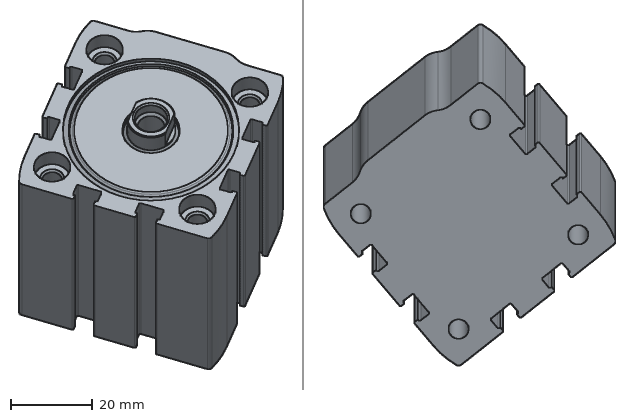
import cadquery as cq
import math

total_height = 59.5
rod_protrusion = 5.0
housing_height = total_height - rod_protrusion
total_width_x = 53.0
half_width = total_width_x / 2
total_length_y = 55.0
pad_face_y = total_length_y - half_width
side_flat_half_length = 18.45
side_arc_radius = 22.0
corner_fillet = 1.1
pad_half_width = 9.05
pad_curve_radius = 6.0

slot_offset = 8.15
slot_depth = 4.5
slot_width = 6.5
slot_lip_thickness = 1.3
slot_mouth_width = 5.25
slot_fillet = 0.35
slot_side_turns = (-90, 0, 90)

mount_pitch = 38.0
mount_half_pitch = mount_pitch / 2
mount_hole_diameter = 4.95
mount_countersink_diameter = 6.0
mount_counterbore_diameter = 9.0
mount_counterbore_depth = 5.0

cap_recess_radius = 43.4 / 2
cap_recess_depth = 1.2
cap_seat_inner_radius = 20.3
cap_seat_depth = 0.35
cap_rim_radius = 40.0 / 2
cap_rim_depth = 0.85
cap_bevel_radius = 19.4
cap_bevel_depth = 0.385
cap_face_radius = 18.9
cap_face_depth = 0.2

wiper_radius = 14.1 / 2
wiper_foot_radius = 6.85
wiper_depth = 1.4
wiper_lip_depth = 0.4

rod_radius = 12.0 / 2
rod_seat_depth = 35.7
rod_chamfer = 0.25
flat_spacing = 10.0
flat_length = 4.75
flat_ramp_drop = 0.6
thread_chamfer_diameter = 9.0
thread_diameter = 8.1
thread_depth = 3.2
drill_diameter = 6.65
drill_depth = 11.9
drill_cone_slope = math.tan(math.radians(30))


def housing_block():
    """Extruded block with bowed side ends and a raised pad on the +Y side."""
    bow_length = half_width - side_flat_half_length
    bow_angle = math.asin(bow_length / side_arc_radius)

    def bowed_x(angle):
        return half_width - side_arc_radius * (1 - math.cos(angle))

    bow_mid_x = bowed_x(bow_angle / 2)
    bow_mid_y = side_flat_half_length + side_arc_radius * math.sin(bow_angle / 2)
    corner_x = bowed_x(bow_angle)

    half_rise = (pad_face_y - half_width) / 2
    arc_run = math.sqrt(2 * pad_curve_radius * half_rise - half_rise**2)
    arc_angle = math.asin(arc_run / pad_curve_radius)
    mid_run = pad_curve_radius * math.sin(arc_angle / 2)
    mid_drop = pad_curve_radius * (1 - math.cos(arc_angle / 2))
    pad_foot_x = pad_half_width + 2 * arc_run
    bend_point = (pad_half_width + arc_run, pad_face_y - half_rise)

    right_half = (
        cq.Workplane("XY")
        .moveTo(0, -half_width)
        .lineTo(corner_x, -half_width)
        .threePointArc((bow_mid_x, -bow_mid_y), (half_width, -side_flat_half_length))
        .lineTo(half_width, side_flat_half_length)
        .threePointArc((bow_mid_x, bow_mid_y), (corner_x, half_width))
        .lineTo(pad_foot_x, half_width)
        .threePointArc((pad_foot_x - mid_run, half_width + mid_drop), bend_point)
        .threePointArc((pad_half_width + mid_run, pad_face_y - mid_drop), (pad_half_width, pad_face_y))
        .lineTo(0, pad_face_y)
        .close()
        .extrude(housing_height)
    )
    for side_y in (-half_width, half_width):
        corner = cq.selectors.NearestToPointSelector((corner_x, side_y, housing_height / 2))
        right_half = right_half.edges(corner).fillet(corner_fillet)
    return right_half.union(right_half.mirror("YZ")).clean()


def revolved(profile):
    """Solid of revolution about the Z axis from (radius, height) points."""
    return cq.Workplane("XZ").polyline(profile).close().revolve(360, (0, 0), (0, 1))


def side_slot():
    """T-slot cutter opening through the -Y face, centred on X = 0."""
    mouth = cq.Workplane("XY").box(
        slot_mouth_width, slot_depth, housing_height, centered=(True, False, False)
    )
    undercut = (
        cq.Workplane("XY")
        .box(slot_width, slot_depth - slot_lip_thickness, housing_height, centered=(True, False, False))
        .edges("|Z")
        .fillet(slot_fillet)
        .translate((0, slot_lip_thickness, 0))
    )
    return mouth.union(undercut).translate((0, -half_width, 0))


def cut_slots(block):
    """Two rounded T-slots in each of the -Y, -X and +X sides."""
    for turn in slot_side_turns:
        block = block.rotate((0, 0, 0), (0, 0, 1), -turn)
        for offset in (-slot_offset, slot_offset):
            block = block.cut(side_slot().translate((offset, 0, 0)))
            for mouth_x in (offset - slot_mouth_width / 2, offset + slot_mouth_width / 2):
                mouth_edge = cq.selectors.NearestToPointSelector((mouth_x, -half_width, housing_height / 2))
                block = block.edges(mouth_edge).fillet(slot_fillet)
        block = block.rotate((0, 0, 0), (0, 0, 1), turn)
    return block


def mounting_hole():
    """Through hole with a counterbore and a 45 degree countersink in its floor."""
    floor_z = housing_height - mount_counterbore_depth
    hole_radius = mount_hole_diameter / 2
    sink_radius = mount_countersink_diameter / 2
    bore_radius = mount_counterbore_diameter / 2
    profile = [
        (0, 0),
        (hole_radius, 0),
        (hole_radius, floor_z - (sink_radius - hole_radius)),
        (sink_radius, floor_z),
        (bore_radius, floor_z),
        (bore_radius, housing_height),
        (0, housing_height),
    ]
    return revolved(profile)


def cap_recess():
    """Stepped ring cut away between the housing and the face of its end cap."""
    top = housing_height
    profile = [
        (cap_recess_radius, top),
        (cap_recess_radius, top - cap_recess_depth),
        (cap_seat_inner_radius, top - cap_seat_depth),
        (cap_rim_radius, top - cap_rim_depth),
        (cap_bevel_radius, top - cap_bevel_depth),
        (cap_face_radius, top - cap_face_depth),
        (0, top - cap_face_depth),
        (0, top),
    ]
    return revolved(profile)


def rod_hole():
    """Blind hole that the rod fills."""
    return (
        cq.Workplane("XY", origin=(0, 0, housing_height - rod_seat_depth))
        .circle(rod_radius)
        .extrude(rod_seat_depth)
    )


def wiper_groove():
    """Groove around the rod whose inner side is a cone rising to a lip on the rod."""
    top = housing_height
    profile = [
        (rod_radius, top),
        (rod_radius, top - wiper_lip_depth),
        (wiper_foot_radius, top - wiper_depth),
        (wiper_radius, top - wiper_depth),
        (wiper_radius, top),
    ]
    return revolved(profile)


def build_housing():
    housing = cut_slots(housing_block())
    for x in (-mount_half_pitch, mount_half_pitch):
        for y in (-mount_half_pitch, mount_half_pitch):
            housing = housing.cut(mounting_hole().translate((x, y, 0)))
    return housing.cut(cap_recess()).cut(rod_hole()).cut(wiper_groove())


def threaded_bore():
    """Stepped bore in the rod end: entry cone, wide part, cone, drilled hole with a pointed end."""
    entry_radius = thread_chamfer_diameter / 2
    wide_radius = thread_diameter / 2
    drill_radius = drill_diameter / 2
    profile = [
        (0, total_height),
        (entry_radius, total_height),
        (wide_radius, total_height - (entry_radius - wide_radius)),
        (wide_radius, total_height - thread_depth),
        (drill_radius, total_height - thread_depth - (wide_radius - drill_radius)),
        (drill_radius, total_height - drill_depth),
        (0, total_height - drill_depth - drill_radius * drill_cone_slope),
    ]
    return revolved(profile)


def rod_flat():
    """Cutter for the flat on the +X side, ending in a ramp that falls outward."""
    flat_x = flat_spacing / 2
    flat_end_z = total_height - flat_length
    profile = [
        (flat_x, total_height),
        (flat_x, flat_end_z),
        (rod_radius, flat_end_z - flat_ramp_drop),
        (rod_radius, total_height),
    ]
    return cq.Workplane("XZ").polyline(profile).close().extrude(rod_radius, both=True)


def build_rod():
    rod = (
        cq.Workplane("XY", origin=(0, 0, housing_height - rod_seat_depth))
        .circle(rod_radius)
        .extrude(rod_seat_depth + rod_protrusion)
        .faces(">Z")
        .edges()
        .chamfer(rod_chamfer)
    )
    rod = rod.cut(rod_flat()).cut(rod_flat().mirror("YZ"))
    return rod.cut(threaded_bore())


housing = build_housing()
rod = build_rod()
result = cq.Compound.makeCompound([housing.val(), rod.val()])